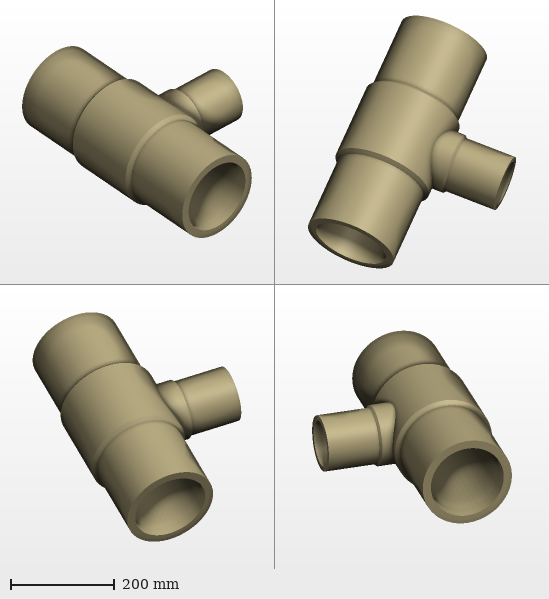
import cadquery as cq

run_length = 464.0
run_diameter = 180.0
bore_diameter = 147.0
collar_diameter = 196.5
collar_length = 168.5
collar_chamfer = (collar_diameter - run_diameter) / 2

branch_reach = 323.5 - collar_diameter / 2
branch_diameter = 110.0
branch_bore_diameter = branch_diameter * bore_diameter / run_diameter
branch_collar_diameter = 119.5
branch_collar_reach = 123.5
branch_chamfer = (branch_collar_diameter - branch_diameter) / 2


def cylinder_along_x(diameter, length):
    """Cylinder on the X axis, centred on the origin."""
    return cq.Workplane("YZ").circle(diameter / 2).extrude(length / 2, both=True)


def cylinder_toward_y(diameter, reach):
    """Cylinder on the Y axis, from the main axis out to the given reach."""
    return cq.Workplane("XZ").circle(diameter / 2).extrude(-reach)


run = cylinder_along_x(run_diameter, run_length)
collar = cylinder_along_x(collar_diameter, collar_length).edges("%CIRCLE").chamfer(collar_chamfer)

branch = cylinder_toward_y(branch_diameter, branch_reach)
branch_collar = cylinder_toward_y(branch_collar_diameter, branch_collar_reach)
branch_collar = branch_collar.faces(">Y").edges().chamfer(branch_chamfer)

result = run.union(collar).union(branch).union(branch_collar)
result = result.cut(cylinder_along_x(bore_diameter, run_length))
result = result.cut(cylinder_toward_y(branch_bore_diameter, branch_reach))